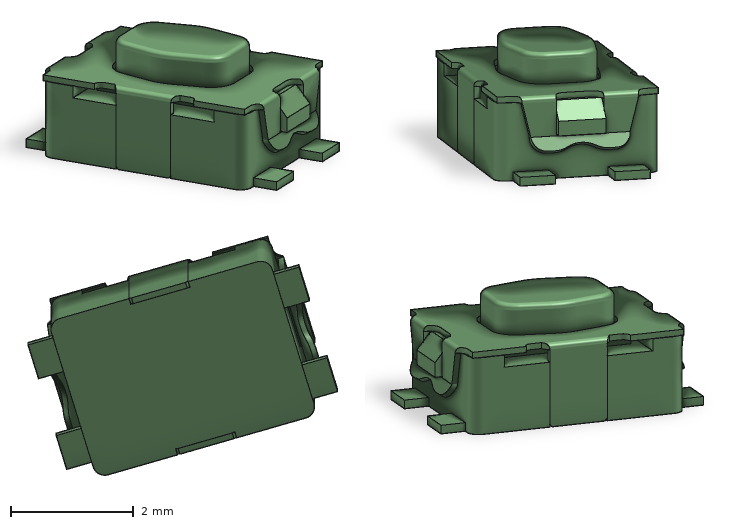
import cadquery as cq
import math

HOUSING_X = 3.75
HOUSING_Y = 2.76
HOUSING_TOP = 1.3
HOUSING_CORNER_R = 0.2

CHANNEL_X = 2.595
CHANNEL_FLOOR = 1.1

CATCH_Y = 0.8
CATCH_REACH = 2.125
CATCH_BOTTOM = 0.755
CATCH_SLOPE_BOTTOM = 1.005

SHEET = 0.1
COVER_TOP = HOUSING_TOP + SHEET
BEND_R = 0.095
COVER_HALF_X = 2.005
COVER_HALF_Y = HOUSING_Y / 2
PLATE_HALF_X = 1.85
PLATE_HALF_Y = 1.36
PLATE_OPENING_GAP = 0.055

LEG_HALF_X = 0.5
LEG_CORNER_CHAMFER = 0.04
LEG_ROOT_HALF_X = 0.6
LEG_RELIEF_R = 0.125
LEG_RELIEF_OUTER_X = 0.91
LEG_ROOT_Y = -(PLATE_HALF_Y - LEG_RELIEF_R)

TAB_HALF_Y_TOP = 0.98
TAB_HALF_Y_BOTTOM = 0.835
TAB_BOTTOM = 0.735
TAB_ROOT_R = 0.19
WINDOW_INNER_X = 1.79
WINDOW_CORNER_R = 0.2
LIP_ANGLE = math.radians(30)
LIP_LOBE_DEPTH = 0.255
LIP_CENTRE_DEPTH = 0.135
LIP_SWING_Y = 0.46

BUTTON_HALF_X = 1.04
BUTTON_HALF_Y = 0.775
BUTTON_TOP = 1.9
BUTTON_TOP_R = 0.1
BUTTON_CORNER_R = 0.385
BUTTON_CROWN_R = 1.0
BUTTON_SIDE_SLOPE = math.radians(12)
FLANGE_BORDER = 0.085
FLANGE_TOP = 1.205

TERMINAL_END_X = 2.3
TERMINAL_INNER_Y = 0.5
TERMINAL_WIDTH = 0.6
TERMINAL_THICKNESS = 0.145


def centred_block(size_x, size_y, bottom, top):
    """A block centred on the Z axis between two heights."""
    return cq.Workplane("XY").workplane(offset=bottom).rect(size_x, size_y).extrude(top - bottom)


def with_opposite(feature):
    """A feature together with its copy turned half a turn about Z."""
    return feature.union(feature.rotate((0, 0, 0), (0, 0, 1), 180))


def make_catch():
    """The sloped catch at the -X end, starting at the housing face."""
    face_x = -HOUSING_X / 2
    profile = [
        (face_x, HOUSING_TOP),
        (-CATCH_REACH, CATCH_SLOPE_BOTTOM),
        (-CATCH_REACH, CATCH_BOTTOM),
        (face_x, CATCH_BOTTOM),
    ]
    return cq.Workplane("XZ").polyline(profile).close().extrude(CATCH_Y / 2, both=True)


def make_housing():
    body = centred_block(HOUSING_X, HOUSING_Y, 0, HOUSING_TOP)
    body = body.edges("|Z").fillet(HOUSING_CORNER_R)
    body = body.cut(centred_block(CHANNEL_X, HOUSING_Y, CHANNEL_FLOOR, HOUSING_TOP))
    leg_recess = centred_block(2 * LEG_HALF_X, SHEET, 0, HOUSING_TOP)
    leg_recess = leg_recess.translate((0, -(COVER_HALF_Y - SHEET / 2), 0))
    body = body.cut(with_opposite(leg_recess))
    return body.union(with_opposite(make_catch()))


def button_column(gap, bottom, top):
    """The rounded six-sided button shape, grown outward by a gap, between two heights."""
    crown_r = BUTTON_CROWN_R + gap
    half_x = BUTTON_HALF_X + gap
    peak_y = BUTTON_HALF_Y + gap - crown_r + crown_r / math.cos(BUTTON_SIDE_SLOPE)
    corner_y = peak_y - half_x * math.tan(BUTTON_SIDE_SLOPE)
    outline = [
        (half_x, -corner_y),
        (half_x, corner_y),
        (0, peak_y),
        (-half_x, corner_y),
        (-half_x, -corner_y),
        (0, -peak_y),
    ]
    column = cq.Workplane("XY").workplane(offset=bottom).polyline(outline).close().extrude(top - bottom)
    column = column.edges("|Z and (>Y or <Y)").fillet(crown_r)
    return column.edges("|Z and (>X or <X)").fillet(BUTTON_CORNER_R + gap)


def make_button():
    column = button_column(0, CHANNEL_FLOOR, BUTTON_TOP).faces(">Z").edges().fillet(BUTTON_TOP_R)
    flange_x = 2 * (BUTTON_HALF_X + FLANGE_BORDER)
    flange_y = 2 * (BUTTON_HALF_Y + FLANGE_BORDER)
    return column.union(centred_block(flange_x, flange_y, CHANNEL_FLOOR, FLANGE_TOP))


def make_bent_sheet():
    """A tray of sheet metal, open below, with rounded bends along its top edges."""
    tray = centred_block(2 * COVER_HALF_X, 2 * COVER_HALF_Y, 0, COVER_TOP)
    tray = tray.faces(">Z").edges().fillet(BEND_R)
    inside = centred_block(2 * (COVER_HALF_X - SHEET), 2 * (COVER_HALF_Y - SHEET), 0, HOUSING_TOP)
    return tray.cut(inside)


def make_plate():
    """The flat plate, cut back along both long sides around the legs."""
    plate = centred_block(2 * PLATE_HALF_X, 2 * PLATE_HALF_Y, HOUSING_TOP, COVER_TOP)
    relief = (
        cq.Workplane("XY")
        .workplane(offset=HOUSING_TOP)
        .moveTo(-LEG_RELIEF_OUTER_X, -PLATE_HALF_Y)
        .radiusArc((-LEG_RELIEF_OUTER_X + LEG_RELIEF_R, LEG_ROOT_Y), LEG_RELIEF_R)
        .lineTo(LEG_RELIEF_OUTER_X - LEG_RELIEF_R, LEG_ROOT_Y)
        .radiusArc((LEG_RELIEF_OUTER_X, -PLATE_HALF_Y), LEG_RELIEF_R)
        .close()
        .extrude(SHEET)
    )
    return plate.cut(with_opposite(relief))


def make_leg_zone():
    """The space that the -Y leg fills: a tapering bend above a straight strip."""
    bend_plan = [
        (-LEG_ROOT_HALF_X, LEG_ROOT_Y),
        (LEG_ROOT_HALF_X, LEG_ROOT_Y),
        (LEG_HALF_X, -COVER_HALF_Y),
        (-LEG_HALF_X, -COVER_HALF_Y),
    ]
    bend = cq.Workplane("XY").workplane(offset=HOUSING_TOP).polyline(bend_plan).close().extrude(SHEET)
    strip = centred_block(2 * LEG_HALF_X, SHEET, 0, HOUSING_TOP)
    strip = strip.edges("|Y and <Z").chamfer(LEG_CORNER_CHAMFER)
    return bend.union(strip.translate((0, -(COVER_HALF_Y - SHEET / 2), 0)))


def make_tab_zone():
    """The space that the -X tab fills: a bend with rounded roots above a tapering wall."""
    tip_x = -PLATE_HALF_X - TAB_ROOT_R
    root_y = TAB_HALF_Y_TOP + TAB_ROOT_R
    bend = (
        cq.Workplane("XY")
        .workplane(offset=HOUSING_TOP)
        .moveTo(-PLATE_HALF_X, -root_y)
        .lineTo(-PLATE_HALF_X, root_y)
        .radiusArc((tip_x, TAB_HALF_Y_TOP), TAB_ROOT_R)
        .lineTo(tip_x, -TAB_HALF_Y_TOP)
        .radiusArc((-PLATE_HALF_X, -root_y), TAB_ROOT_R)
        .close()
        .extrude(SHEET)
    )
    wall_outline = [
        (-TAB_HALF_Y_TOP, HOUSING_TOP),
        (TAB_HALF_Y_TOP, HOUSING_TOP),
        (TAB_HALF_Y_BOTTOM, TAB_BOTTOM),
        (-TAB_HALF_Y_BOTTOM, TAB_BOTTOM),
    ]
    wall = cq.Workplane("YZ").workplane(offset=tip_x).polyline(wall_outline).close().extrude(TAB_ROOT_R)
    return bend.union(wall)


def make_window():
    """The opening in the -X tab and plate edge that the catch passes through."""
    length = CATCH_REACH - WINDOW_INNER_X
    notch = centred_block(length, CATCH_Y, HOUSING_TOP, COVER_TOP)
    notch = notch.edges("|Z and >X").fillet(WINDOW_CORNER_R)
    slot = centred_block(length, CATCH_Y, CATCH_BOTTOM, HOUSING_TOP)
    return notch.union(slot).translate((-CATCH_REACH + length / 2, 0, 0))


def make_lip():
    """The flared wavy lip below the -X tab, with the mitred wedge that joins it to the tab."""
    sine = math.sin(LIP_ANGLE)
    cosine = math.cos(LIP_ANGLE)
    hinge_x = -COVER_HALF_X
    lip_plane = cq.Plane(origin=(hinge_x, 0, TAB_BOTTOM), xDir=(0, 1, 0), normal=(-cosine, 0, sine))
    half_width = TAB_HALF_Y_BOTTOM
    lobe_end_y = half_width - LIP_LOBE_DEPTH
    swing_y = LIP_SWING_Y / 2
    swing_depth = (LIP_LOBE_DEPTH + LIP_CENTRE_DEPTH) / 2
    lip = (
        cq.Workplane(lip_plane)
        .moveTo(-half_width, 0)
        .lineTo(half_width, 0)
        .radiusArc((lobe_end_y, LIP_LOBE_DEPTH), -LIP_LOBE_DEPTH)
        .lineTo(LIP_SWING_Y, LIP_LOBE_DEPTH)
        .tangentArcPoint((swing_y, swing_depth), relative=False)
        .tangentArcPoint((0, LIP_CENTRE_DEPTH), relative=False)
        .tangentArcPoint((-swing_y, swing_depth), relative=False)
        .tangentArcPoint((-LIP_SWING_Y, LIP_LOBE_DEPTH), relative=False)
        .lineTo(-lobe_end_y, LIP_LOBE_DEPTH)
        .radiusArc((-half_width, 0), -LIP_LOBE_DEPTH)
        .close()
        .extrude(-SHEET)
    )
    inner_x = hinge_x + SHEET
    wedge_profile = [
        (hinge_x, TAB_BOTTOM),
        (inner_x, TAB_BOTTOM),
        (inner_x, TAB_BOTTOM - SHEET * math.tan(LIP_ANGLE / 2)),
        (hinge_x + SHEET * cosine, TAB_BOTTOM - SHEET * sine),
    ]
    wedge = cq.Workplane("XZ").polyline(wedge_profile).close().extrude(TAB_HALF_Y_BOTTOM, both=True)
    return lip.union(wedge)


def make_cover():
    bent_zones = with_opposite(make_leg_zone()).union(with_opposite(make_tab_zone()))
    cover = make_plate().union(make_bent_sheet().intersect(bent_zones))
    cover = cover.cut(with_opposite(make_window()))
    cover = cover.cut(button_column(PLATE_OPENING_GAP, HOUSING_TOP, COVER_TOP))
    return cover.union(with_opposite(make_lip()))


def make_terminal(x_side, y_side):
    """A flat terminal butted against an end face of the housing."""
    length = TERMINAL_END_X - HOUSING_X / 2
    terminal = cq.Workplane("XY").box(length, TERMINAL_WIDTH, TERMINAL_THICKNESS, centered=(True, True, False))
    centre_x = x_side * (TERMINAL_END_X - length / 2)
    centre_y = y_side * (TERMINAL_INNER_Y + TERMINAL_WIDTH / 2)
    return terminal.translate((centre_x, centre_y, 0))


housing = make_housing()
cover = make_cover()
button = make_button()
terminals = []
for x_side in (-1, 1):
    for y_side in (-1, 1):
        terminals.append(make_terminal(x_side, y_side).val())

result = cq.Compound.makeCompound([housing.val(), cover.val(), button.val(), *terminals])